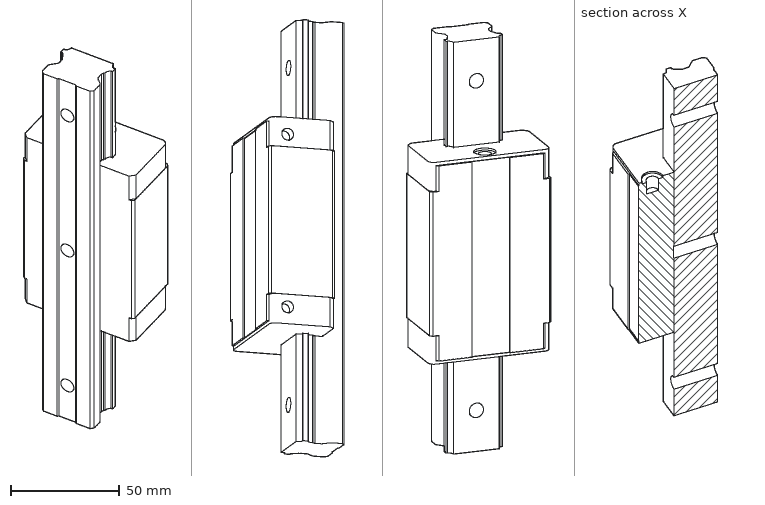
import cadquery as cq
import math

RAIL_LENGTH = 200.0
RAIL_WIDTH = 28.0
RAIL_HEIGHT = 23.0
TOTAL_HEIGHT = 42.0

BASE_CHAMFER = 1.5
BASE_SIDE_TOP = 6.2
FLANK_ROUNDING = 1.5
SLOPE_ANGLE = math.radians(45)
WAIST_HALF_WIDTH = 10.5
WAIST_TOP = 13.5
LOWER_GROOVE_LIP = (11.0, 14.5)
LOWER_GROOVE_START = (11.5, 15.2)
LOWER_GROOVE_END = (13.2, 17.8)
LOWER_GROOVE_RADIUS = 3.0
HEAD_SIDE_TOP = 20.5
UPPER_GROOVE_START = 13.2
HEAD_TOP_HALF_WIDTH = 11.5
UPPER_GROOVE_RADIUS = 2.5
RELIEF_WIDTH = 10.5
RELIEF_FLOOR_WIDTH = 8.8
RELIEF_DEPTH = 0.5

RAIL_HOLE_DIAMETER = 7.0
RAIL_HOLE_PITCH = 80.0
RAIL_HOLE_COUNT = 3

CARRIAGE_WIDTH = 60.0
CARRIAGE_LENGTH = 98.0
CARRIAGE_BOTTOM = 10.0
CAP_LENGTH = 14.0
BLOCK_CHAMFER = 1.2
CAP_TOP_STEP = 1.0
CAP_SIDE_STEP = 0.1
CAP_FILLET = 3.0
CAP_BOTTOM_CHAMFER = 2.5
PAD_END_INSET = 1.5
TOP_GROOVE_WIDTH = 18.8
TOP_GROOVE_DEPTH = 0.5

PORT_Y = 34.0
PORT_DIAMETER = 6.0
PORT_DEPTH = 8.0
PORT_RING_DIAMETER = 10.5
PORT_RING_DEPTH = 1.0
SIDE_PORT_Y = 33.0
SIDE_PORT_DIAMETER = 5.5
SIDE_PORT_DEPTH = 6.0
SIDE_PORT_FROM_END = 8.0

BLOCK_LENGTH = CARRIAGE_LENGTH - 2 * CAP_LENGTH


def rail_envelope():
    """Rail without its underside relief and holes; it is also the cavity of the carriage."""
    side = RAIL_WIDTH / 2
    rounding_x = FLANK_ROUNDING * (1 - math.cos(SLOPE_ANGLE))
    rounding_y = FLANK_ROUNDING * math.sin(SLOPE_ANGLE)
    slope_bottom = (side - rounding_x, BASE_SIDE_TOP + rounding_y)
    slope_run = side - WAIST_HALF_WIDTH - 2 * rounding_x
    slope_top = (WAIST_HALF_WIDTH + rounding_x, slope_bottom[1] + slope_run * math.tan(SLOPE_ANGLE))
    right_half = (
        cq.Workplane("XY", origin=(0, 0, -RAIL_LENGTH / 2))
        .lineTo(side - BASE_CHAMFER, 0)
        .lineTo(side, BASE_CHAMFER)
        .lineTo(side, BASE_SIDE_TOP)
        .radiusArc(slope_bottom, -FLANK_ROUNDING)
        .lineTo(*slope_top)
        .radiusArc((WAIST_HALF_WIDTH, slope_top[1] + rounding_y), FLANK_ROUNDING)
        .lineTo(WAIST_HALF_WIDTH, WAIST_TOP)
        .lineTo(*LOWER_GROOVE_LIP)
        .lineTo(*LOWER_GROOVE_START)
        .radiusArc(LOWER_GROOVE_END, LOWER_GROOVE_RADIUS)
        .lineTo(side, LOWER_GROOVE_END[1])
        .lineTo(side, HEAD_SIDE_TOP)
        .lineTo(UPPER_GROOVE_START, HEAD_SIDE_TOP)
        .radiusArc((HEAD_TOP_HALF_WIDTH, RAIL_HEIGHT), UPPER_GROOVE_RADIUS)
        .lineTo(0, RAIL_HEIGHT)
        .close()
        .extrude(RAIL_LENGTH)
    )
    return right_half.union(right_half.mirror("YZ")).clean()


def make_rail():
    relief = (
        cq.Workplane("XY", origin=(0, 0, -RAIL_LENGTH / 2))
        .polyline([
            (-RELIEF_WIDTH / 2, 0),
            (RELIEF_WIDTH / 2, 0),
            (RELIEF_FLOOR_WIDTH / 2, RELIEF_DEPTH),
            (-RELIEF_FLOOR_WIDTH / 2, RELIEF_DEPTH),
        ])
        .close()
        .extrude(RAIL_LENGTH)
    )
    holes = (
        cq.Workplane("XZ")
        .rarray(2, RAIL_HOLE_PITCH, 1, RAIL_HOLE_COUNT)
        .circle(RAIL_HOLE_DIAMETER / 2)
        .extrude(-RAIL_HEIGHT)
    )
    return rail_envelope().cut(relief).cut(holes)


def carriage_box(width, top, length, z_center):
    height = top - CARRIAGE_BOTTOM
    y_center = CARRIAGE_BOTTOM + height / 2
    return cq.Workplane("XY", origin=(0, y_center, z_center)).box(width, height, length)


def end_cap(end):
    """End section of the carriage; `end` is +1 for the upper one and -1 for the lower one."""
    width = CARRIAGE_WIDTH - 2 * CAP_SIDE_STEP
    top = TOTAL_HEIGHT - CAP_TOP_STEP
    return (
        carriage_box(width, top, CAP_LENGTH, end * (BLOCK_LENGTH + CAP_LENGTH) / 2)
        .edges("|Z and <Y").chamfer(CAP_BOTTOM_CHAMFER)
        .edges("|Z and >Y").fillet(CAP_FILLET)
    )


def cap_top_pad():
    """Raised strip with sloped sides that carries the block's top face on over both end caps."""
    base_half_width = CARRIAGE_WIDTH / 2 - CAP_SIDE_STEP - CAP_FILLET
    top_half_width = base_half_width - CAP_TOP_STEP
    base_y = TOTAL_HEIGHT - CAP_TOP_STEP
    length = CARRIAGE_LENGTH - 2 * PAD_END_INSET
    return (
        cq.Workplane("XY", origin=(0, 0, -length / 2))
        .polyline([
            (-base_half_width, base_y),
            (base_half_width, base_y),
            (top_half_width, TOTAL_HEIGHT),
            (-top_half_width, TOTAL_HEIGHT),
        ])
        .close()
        .extrude(length)
    )


def end_port():
    """Stepped port in the upper end face."""
    mouth = cq.Workplane("XY", origin=(0, PORT_Y, CARRIAGE_LENGTH / 2))
    ring = mouth.circle(PORT_RING_DIAMETER / 2).extrude(-PORT_RING_DEPTH)
    return ring.union(mouth.circle(PORT_DIAMETER / 2).extrude(-PORT_DEPTH))


def side_ports():
    """One blind port in the -X side of each end cap."""
    pitch = CARRIAGE_LENGTH - 2 * SIDE_PORT_FROM_END
    return (
        cq.Workplane("YZ", origin=(-CARRIAGE_WIDTH / 2, SIDE_PORT_Y, 0))
        .rarray(2, pitch, 1, 2)
        .circle(SIDE_PORT_DIAMETER / 2)
        .extrude(SIDE_PORT_DEPTH)
    )


def make_carriage():
    body = carriage_box(CARRIAGE_WIDTH, TOTAL_HEIGHT, BLOCK_LENGTH, 0).edges("|Z").chamfer(BLOCK_CHAMFER)
    for end in (1, -1):
        body = body.union(end_cap(end))
    body = body.union(cap_top_pad())
    top_groove = cq.Workplane("XY", origin=(0, TOTAL_HEIGHT, 0)).box(
        TOP_GROOVE_WIDTH, 2 * TOP_GROOVE_DEPTH, CARRIAGE_LENGTH
    )
    return body.cut(top_groove).cut(rail_envelope()).cut(end_port()).cut(side_ports())


rail = make_rail()
carriage = make_carriage()

result = cq.Compound.makeCompound([rail.val(), carriage.val()])